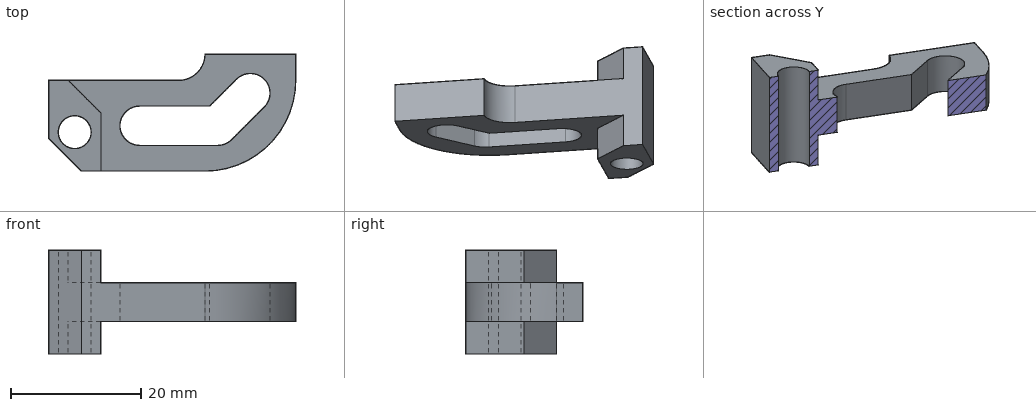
import cadquery as cq
import math

length = 38.0
depth = 18.0
head_height = 16.0

head_length = 8.0
head_depth = 14.0
corner_cut = 5.0

hole_diameter = 5.0
hole_x = head_length / 2
hole_y = 6.0

arm_thickness = 6.0
outer_radius = head_depth
inner_radius = depth - head_depth
tip_start_x = length - outer_radius

slot_width = 6.0
slot_start_x = 14.0
slot_y = 7.0
slot_bend_x = 26.0
slot_rise = 5.0


def make_head():
    outline = [
        (corner_cut, 0),
        (head_length, 0),
        (head_length, head_depth - corner_cut),
        (head_length - corner_cut, head_depth),
        (0, head_depth),
        (0, corner_cut),
    ]
    return (
        cq.Workplane("XY", origin=(0, 0, -head_height / 2))
        .polyline(outline).close()
        .extrude(head_height)
    )


def make_arm():
    """Plate that fills the head's cut corner and ends in a rounded, raised tip."""
    diagonal = math.sqrt(0.5)
    outer_mid = (
        tip_start_x + outer_radius * diagonal,
        outer_radius * (1 - diagonal),
    )
    fillet_x = tip_start_x - inner_radius
    inner_mid = (
        fillet_x + inner_radius * diagonal,
        depth - inner_radius * diagonal,
    )
    return (
        cq.Workplane("XY", origin=(0, 0, -arm_thickness / 2))
        .moveTo(corner_cut, 0)
        .lineTo(tip_start_x, 0)
        .threePointArc(outer_mid, (length, outer_radius))
        .lineTo(length, depth)
        .lineTo(tip_start_x, depth)
        .threePointArc(inner_mid, (fillet_x, head_depth))
        .lineTo(head_length - corner_cut, head_depth)
        .close()
        .extrude(arm_thickness)
    )


def make_slot_run(start, end):
    """Round-ended cutter whose end centres are the two given points."""
    run_x = end[0] - start[0]
    run_y = end[1] - start[1]
    middle = ((start[0] + end[0]) / 2, (start[1] + end[1]) / 2)
    angle = math.degrees(math.atan2(run_y, run_x))
    return (
        cq.Workplane("XY", origin=(0, 0, -arm_thickness / 2))
        .center(*middle)
        .slot2D(math.hypot(run_x, run_y) + slot_width, slot_width, angle)
        .extrude(arm_thickness)
    )


def make_hole():
    return (
        cq.Workplane("XY", origin=(hole_x, hole_y, -head_height / 2))
        .circle(hole_diameter / 2)
        .extrude(head_height)
    )


slot_points = [
    (slot_start_x, slot_y),
    (slot_bend_x, slot_y),
    (slot_bend_x + slot_rise, slot_y + slot_rise),
]

result = make_head().union(make_arm()).cut(make_hole())
for start, end in zip(slot_points, slot_points[1:]):
    result = result.cut(make_slot_run(start, end))